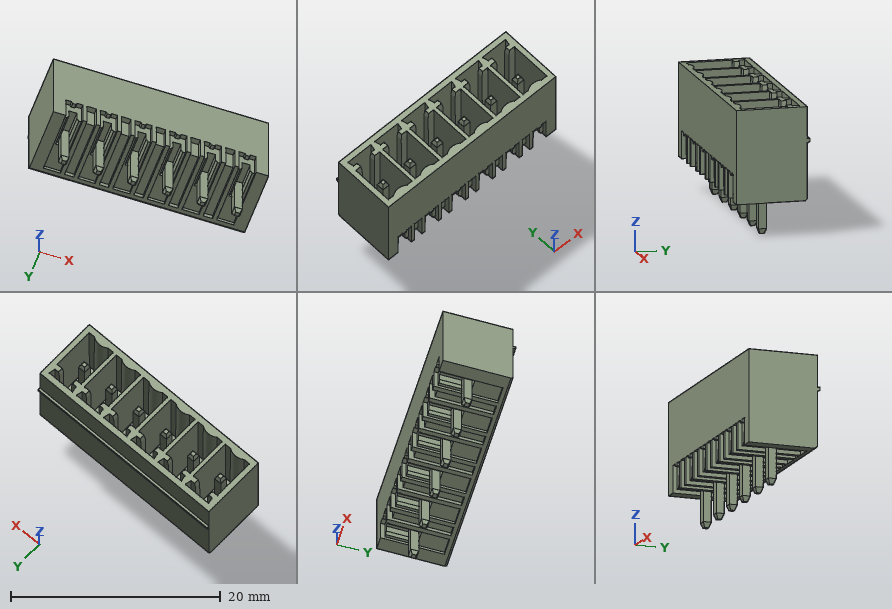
import cadquery as cq
import math

pin_count = 6
pitch = 3.5

length = 21.8
depth = 7.0
height = 9.2
rear_edge_chamfer = 0.22

ridge_reach = 0.26
ridge_drop = 3.15
ridge_base_height = 0.41
ridge_tip_height = 0.28

floor_z = 2.0
cavity_depth = height - floor_z
chamber_half_width = 1.55
chamber_front_y = 0.65
chamber_rear_y = 5.12
chamber_draft = 0.4
bump_half_width = 0.87
bump_height = 0.28
neck_half_width = 0.78
rear_slot_front_y = 5.71
rear_slot_rear_y = 6.37
rear_slot_front_half_width = 1.35
rear_slot_rear_half_width = 1.5

lead_in_depth = 0.65
lead_in_side = 0.13
lead_in_front = 0.07

pin_y = 3.03
pin_width = 0.8
pin_tip_width = 0.41
pin_tip_length = 0.52
pin_top_z = 8.0
pin_bottom_z = -3.4
boss_diameter = 1.8
boss_height = 0.4
boss_round = 0.22

opening_height = 2.7
pin_opening_width = 1.72
pin_opening_depth = 0.44
lug_top_width = 0.59
lug_bottom_width = 0.35
lug_height = 0.26
gap_opening_width = 0.94
gap_opening_depth = 0.55

hollow_rear_y = rear_slot_rear_y
pin_hollow_height = 0.4
gap_hollow_height = 0.52
pin_groove_top_z = 1.65
pin_lead_in_width = 1.22
pin_lead_in_height = 0.33

pin_xs = [(i - (pin_count - 1) / 2) * pitch for i in range(pin_count)]
gap_xs = [x + pitch / 2 for x in pin_xs[:-1]]


def block(x, width, y_front, y_rear, z_bottom, z_top):
    """Box centred on x, between the given Y and Z limits."""
    return cq.Workplane("XY").box(
        width, y_rear - y_front, z_top - z_bottom, centered=(True, False, False)
    ).translate((x, y_front, z_bottom))


def square_taper(z_start, start_width, z_end, end_width):
    """Square frustum on the pin axis of a way at X = 0."""
    return (
        cq.Workplane("XY", origin=(0, pin_y, z_start))
        .rect(start_width, start_width)
        .workplane(offset=z_end - z_start)
        .rect(end_width, end_width)
        .loft(ruled=True)
    )


def housing():
    body = block(0, length, 0, depth, 0, height)
    body = body.faces(">Y").edges("<Z").chamfer(rear_edge_chamfer)
    ridge_top = height - ridge_drop
    ridge = (
        cq.Workplane("YZ", origin=(-length / 2, 0, 0))
        .moveTo(rear_slot_rear_y, ridge_top)
        .lineTo(depth + ridge_reach, ridge_top)
        .lineTo(depth + ridge_reach, ridge_top - ridge_tip_height)
        .lineTo(depth, ridge_top - ridge_base_height)
        .lineTo(rear_slot_rear_y, ridge_top - ridge_base_height)
        .close()
        .extrude(length)
    )
    return body.union(ridge)


def chamber():
    """Front part of the cavity, with a rounded key bump in its front wall."""
    return (
        cq.Workplane("XY", origin=(0, 0, height))
        .moveTo(-chamber_half_width, chamber_front_y)
        .lineTo(-bump_half_width, chamber_front_y)
        .threePointArc((0, chamber_front_y + bump_height), (bump_half_width, chamber_front_y))
        .lineTo(chamber_half_width, chamber_front_y)
        .lineTo(chamber_half_width, chamber_rear_y)
        .lineTo(-chamber_half_width, chamber_rear_y)
        .close()
        .extrude(-cavity_depth, taper=chamber_draft)
    )


def rear_slot():
    """Neck between the guide ribs and the slot behind them that widens to the rear."""
    neck = block(0, 2 * neck_half_width, pin_y, rear_slot_rear_y, floor_z, height)
    slot = (
        cq.Workplane("XY", origin=(0, 0, floor_z))
        .moveTo(-rear_slot_front_half_width, rear_slot_front_y)
        .lineTo(rear_slot_front_half_width, rear_slot_front_y)
        .lineTo(rear_slot_rear_half_width, rear_slot_rear_y)
        .lineTo(-rear_slot_rear_half_width, rear_slot_rear_y)
        .close()
        .extrude(cavity_depth)
    )
    return neck.union(slot)


def rib_lead_in():
    """Slopes on the ends and the front faces of the guide ribs."""
    lead_in_z = height - lead_in_depth
    rib_front_y = chamber_rear_y - lead_in_depth * math.tan(math.radians(chamber_draft))
    ends = (
        cq.Workplane("XZ", origin=(0, pin_y, 0))
        .moveTo(-neck_half_width, lead_in_z)
        .lineTo(neck_half_width, lead_in_z)
        .lineTo(neck_half_width + lead_in_side, height)
        .lineTo(-neck_half_width - lead_in_side, height)
        .close()
        .extrude(pin_y - rear_slot_front_y)
    )
    fronts = (
        cq.Workplane("YZ", origin=(-chamber_half_width, 0, 0))
        .moveTo(rib_front_y, lead_in_z)
        .lineTo(chamber_rear_y + lead_in_front, height)
        .lineTo(rib_front_y, height)
        .close()
        .extrude(2 * chamber_half_width)
    )
    return ends.union(fronts)


def pin_opening():
    """Wide opening in the front wall, with a small lug hanging from its top edge."""
    lug = (
        cq.Workplane("XZ")
        .moveTo(-lug_top_width / 2, opening_height)
        .lineTo(-lug_bottom_width / 2, opening_height - lug_height)
        .lineTo(lug_bottom_width / 2, opening_height - lug_height)
        .lineTo(lug_top_width / 2, opening_height)
        .close()
        .extrude(-pin_opening_depth)
    )
    return block(0, pin_opening_width, 0, pin_opening_depth, 0, opening_height).cut(lug)


def pin_entry():
    """Underside hollow, groove from the front to the pin, and lead-in around the pin."""
    hollow = block(0, pin_opening_width, 0, hollow_rear_y, 0, pin_hollow_height)
    groove = block(0, pin_width, 0, pin_y, 0, pin_groove_top_z)
    lead_in_top_z = pin_hollow_height + pin_lead_in_height
    lead_in = square_taper(pin_hollow_height, pin_lead_in_width, lead_in_top_z, pin_width)
    lead_in_channel = (
        cq.Workplane("XZ")
        .moveTo(-pin_lead_in_width / 2, pin_hollow_height)
        .lineTo(pin_lead_in_width / 2, pin_hollow_height)
        .lineTo(pin_width / 2, lead_in_top_z)
        .lineTo(-pin_width / 2, lead_in_top_z)
        .close()
        .extrude(-pin_y)
    )
    return hollow.union(groove).union(lead_in).union(lead_in_channel)


def gap_opening(x):
    """Narrow opening between two ways, joined to its underside hollow."""
    opening = block(x, gap_opening_width, 0, gap_opening_depth, 0, opening_height)
    hollow = block(x, gap_opening_width, 0, hollow_rear_y, 0, gap_hollow_height)
    return opening.union(hollow)


def pin():
    """Square pin with tapered ends, standing in a round boss on the cavity floor."""
    half = pin_width / 2
    upper_z = pin_top_z - pin_tip_length
    lower_z = pin_bottom_z + pin_tip_length
    shank = block(0, pin_width, pin_y - half, pin_y + half, lower_z, upper_z)
    upper_tip = square_taper(upper_z, pin_width, pin_top_z, pin_tip_width)
    lower_tip = square_taper(lower_z, pin_width, pin_bottom_z, pin_tip_width)
    boss = (
        cq.Workplane("XY", origin=(0, pin_y, floor_z))
        .circle(boss_diameter / 2)
        .extrude(boss_height)
        .faces(">Z")
        .edges()
        .fillet(boss_round)
    )
    return boss.union(shank).union(upper_tip).union(lower_tip)


way_cut = chamber().union(rear_slot()).union(rib_lead_in())
way_cut = way_cut.union(pin_opening()).union(pin_entry())
way_pin = pin()

result = housing()
for x in gap_xs:
    result = result.cut(gap_opening(x))
for x in pin_xs:
    result = result.cut(way_cut.translate((x, 0, 0)))
    result = result.union(way_pin.translate((x, 0, 0)))